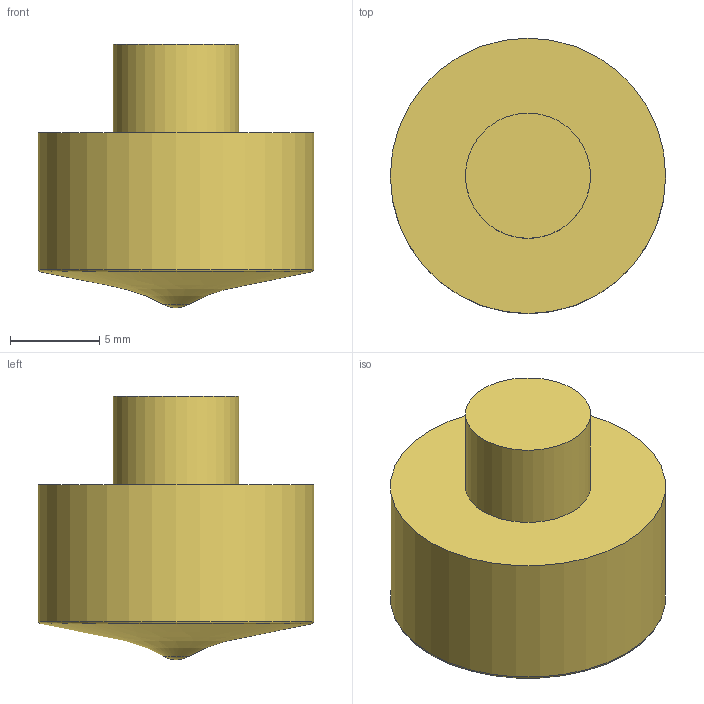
import cadquery as cq
import math

total_height = 14.73
body_diameter = 15.4
stem_diameter = 7.0
stem_height = 4.95
rim_radius = 0.15
cone_angle = math.radians(11.5)
flank_angle = math.radians(30)
flare_radius = 8.0
tip_radius = 1.35

body_radius = body_diameter / 2
stem_radius = stem_diameter / 2
tip_z = stem_height - total_height


def convex_point(center, radius, slope):
    """Point on the lower right of a circle where its tangent rises outward at the given slope."""
    x, z = center
    return (x + radius * math.sin(slope), z - radius * math.cos(slope))


def slope_direction(slope):
    return (math.cos(slope), math.sin(slope))


def revolved_profile():
    """Closed half section; neighbouring stretches of the underside are tangent."""
    tip_center = (0, tip_z + tip_radius)
    tip_middle = convex_point(tip_center, tip_radius, flank_angle / 2)
    flank = convex_point(tip_center, tip_radius, flank_angle)

    cone_start_x = flank[0] + flare_radius * (math.sin(flank_angle) - math.sin(cone_angle))
    cone_start_z = flank[1] + flare_radius * (math.cos(cone_angle) - math.cos(flank_angle))

    rim_center_x = body_radius - rim_radius
    cone_end_x = rim_center_x + rim_radius * math.sin(cone_angle)
    cone_end_z = cone_start_z + (cone_end_x - cone_start_x) * math.tan(cone_angle)
    rim_center_z = cone_end_z + rim_radius * math.cos(cone_angle)
    rim_middle_slope = (math.pi / 2 + cone_angle) / 2
    rim_middle = convex_point((rim_center_x, rim_center_z), rim_radius, rim_middle_slope)

    underside_points = [(cone_start_x, cone_start_z), (cone_end_x, cone_end_z)]
    underside_directions = [slope_direction(a) for a in (flank_angle, cone_angle, cone_angle)]

    return (
        cq.Workplane("XZ")
        .moveTo(0, tip_z)
        .threePointArc(tip_middle, flank)
        .spline(underside_points, tangents=underside_directions, includeCurrent=True)
        .threePointArc(rim_middle, (body_radius, rim_center_z))
        .lineTo(body_radius, 0)
        .lineTo(stem_radius, 0)
        .lineTo(stem_radius, stem_height)
        .lineTo(0, stem_height)
        .close()
    )


result = revolved_profile().revolve(360, (0, 0, 0), (0, 1, 0))